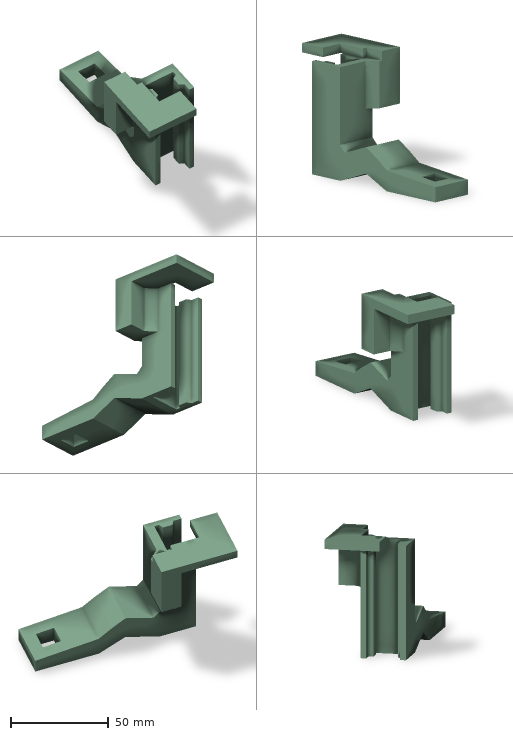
import cadquery as cq

TOTAL_LENGTH = 105.79
TOTAL_HEIGHT = 65.0
TOTAL_DEPTH = 39.0

PLATE_LENGTH = 42.0
PLATE_THICKNESS = 5.0
PLATE_BACK_Y = 29.0
PLATE_NECK_Y = 16.0
PLATE_TAB_Y = 13.0
PLATE_WIDE_END = 15.0
PLATE_LEFT_X = TOTAL_LENGTH - PLATE_LENGTH
PLATE_BOTTOM_Z = TOTAL_HEIGHT - PLATE_THICKNESS

BLOCK_LENGTH = 11.0
BLOCK_BOTTOM_Z = 35.0
BLOCK_FLARE = 5.0
BLOCK_RIGHT_X = PLATE_LEFT_X + BLOCK_LENGTH

BODY_WIDTH = 24.0
BODY_FRONT_Y = TOTAL_DEPTH - BODY_WIDTH
BODY_CENTER_Y = BODY_FRONT_Y + BODY_WIDTH / 2
UPRIGHT_LENGTH = 20.0
UPRIGHT_LEFT_X = PLATE_LEFT_X + BLOCK_FLARE
UPRIGHT_RIGHT_X = UPRIGHT_LEFT_X + UPRIGHT_LENGTH

CHANNEL_BACK_WALL = 5.0
CHANNEL_SIDE_WALL = 3.0
CHANNEL_LEFT_X = UPRIGHT_LEFT_X + CHANNEL_BACK_WALL
CHANNEL_WIDTH = BODY_WIDTH - 2 * CHANNEL_SIDE_WALL

RIB_OFFSET = 2.5
RIB_ROOT = 8.0
RIB_TIP = 5.2
RIB_HEIGHT = 2.5

TIP_HEIGHT = 8.0
BEND_TOP = (34.9, 11.1)
SLOPE_BREAK = (42.3, 16.3)
RIDGE_X = 49.8
RIDGE_TOP_Z = 20.9
RIDGE_BOTTOM_Z = 6.9
VALLEY_TOP = (65.2, 15.4)
UPRIGHT_BASE_Z = 18.9
ARCH_LEFT_X = 35.1
ARCH_RIGHT_X = 68.5

HOLE_SIZE = 10.0
HOLE_LEFT_X = 6.9
HOLE_FRONT_Y = BODY_CENTER_Y - HOLE_SIZE / 2


def prism(points, bottom_z, top_z):
    """Upright prism over an XY outline."""
    return cq.Workplane("XY").workplane(offset=bottom_z).polyline(points).close().extrude(top_z - bottom_z)


def make_body():
    """Foot and upright as one XZ profile across the body's width."""
    profile = [
        (0, 0),
        (ARCH_LEFT_X, 0),
        (RIDGE_X, RIDGE_BOTTOM_Z),
        (ARCH_RIGHT_X, 0),
        (UPRIGHT_RIGHT_X, 0),
        (UPRIGHT_RIGHT_X, PLATE_BOTTOM_Z),
        (UPRIGHT_LEFT_X, PLATE_BOTTOM_Z),
        (UPRIGHT_LEFT_X, UPRIGHT_BASE_Z),
        VALLEY_TOP,
        (RIDGE_X, RIDGE_TOP_Z),
        SLOPE_BREAK,
        BEND_TOP,
        (0, TIP_HEIGHT),
    ]
    front_plane = cq.Workplane("XZ", origin=(0, BODY_FRONT_Y, 0))
    return front_plane.polyline(profile).close().extrude(-BODY_WIDTH)


def make_hole():
    """Square cutter through the foot."""
    size = (HOLE_SIZE, HOLE_SIZE, TOTAL_HEIGHT)
    return cq.Workplane("XY").box(*size, centered=False).translate((HOLE_LEFT_X, HOLE_FRONT_Y, 0))


def make_rib(side):
    """Rib on one channel wall: side is -1 for the front wall, +1 for the back wall."""
    root_y = BODY_CENTER_Y + side * CHANNEL_WIDTH / 2
    tip_y = root_y - side * RIB_HEIGHT
    root_x = CHANNEL_LEFT_X + RIB_OFFSET
    tip_x = root_x + (RIB_ROOT - RIB_TIP) / 2
    outline = [
        (root_x, root_y),
        (tip_x, tip_y),
        (tip_x + RIB_TIP, tip_y),
        (root_x + RIB_ROOT, root_y),
    ]
    return prism(outline, 0, PLATE_BOTTOM_Z)


def make_channel():
    """Channel cutter with the ribs left standing."""
    size = (UPRIGHT_RIGHT_X - CHANNEL_LEFT_X, CHANNEL_WIDTH, PLATE_BOTTOM_Z)
    corner = (CHANNEL_LEFT_X, BODY_FRONT_Y + CHANNEL_SIDE_WALL, 0)
    channel = cq.Workplane("XY").box(*size, centered=False).translate(corner)
    for side in (-1, 1):
        channel = channel.cut(make_rib(side))
    return channel


def make_block():
    """Block in front of the upright, flared into it on both sides."""
    outline = [
        (PLATE_LEFT_X, 0),
        (BLOCK_RIGHT_X, 0),
        (BLOCK_RIGHT_X, BODY_FRONT_Y - BLOCK_FLARE),
        (BLOCK_RIGHT_X + BLOCK_FLARE, BODY_FRONT_Y),
        (UPRIGHT_LEFT_X, BODY_FRONT_Y),
        (UPRIGHT_LEFT_X, BODY_FRONT_Y + BLOCK_FLARE),
        (PLATE_LEFT_X, BODY_FRONT_Y),
    ]
    return prism(outline, BLOCK_BOTTOM_Z, PLATE_BOTTOM_Z)


def make_plate():
    """Stepped plate that overhangs the upright on the +X side."""
    wide_left_x = TOTAL_LENGTH - PLATE_WIDE_END
    outline = [
        (PLATE_LEFT_X, 0),
        (TOTAL_LENGTH, 0),
        (TOTAL_LENGTH, PLATE_BACK_Y),
        (wide_left_x, PLATE_BACK_Y),
        (wide_left_x, PLATE_NECK_Y),
        (BLOCK_RIGHT_X, PLATE_NECK_Y),
        (BLOCK_RIGHT_X, PLATE_TAB_Y),
        (PLATE_LEFT_X, PLATE_TAB_Y),
    ]
    return prism(outline, PLATE_BOTTOM_Z, TOTAL_HEIGHT)


body = make_body().cut(make_hole()).cut(make_channel())
result = body.union(make_block()).union(make_plate())